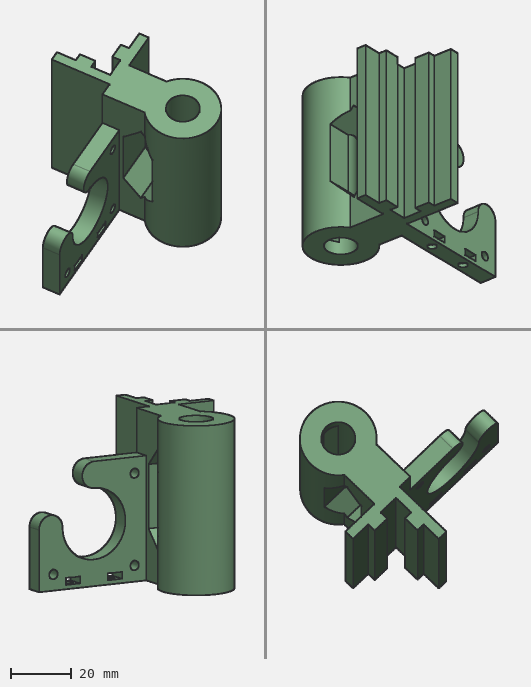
import cadquery as cq

HEIGHT = 57.0
PART_LENGTH_Y = 69.46

TUBE_DIAMETER = 25.4
BORE_DIAMETER = 11.2
POCKET_WIDTH = 8.0
POCKET_END_MARGIN = 4.75
POCKET_WALL = 2.0

FLANGE_THICKNESS = 3.6
FLANGE_REACH = 20.0
CORNER_X = -27.95
CORNER_Y = 1.0
KEY_WIDTH = 5.85
KEY_CENTER_OFFSET = FLANGE_REACH / 2
X_FLANGE_KEY_HEIGHT = 2.85
Y_FLANGE_KEY_HEIGHT = 3.05

NECK_WIDTH = 15.0
WINDOW_WIDTH = 13.2
WINDOW_CENTER_X = -11.7
WINDOW_SIDE_HEIGHT = 21.6
WINDOW_POINT_HEIGHT = WINDOW_WIDTH / 2

PLATE_THICKNESS = 6.35
PLATE_SIZE = 42.0
HOOK_DIAMETER = 24.0
SCREW_DIAMETER = 3.2
SCREW_SPACING = 31.0
NUT_SLOT_LENGTH = 5.4
NUT_SLOT_HEIGHT = 2.35
NUT_SLOT_SPACING = 16.0
NUT_SLOT_Z = 2.65

PLATE_X = CORNER_X + FLANGE_THICKNESS / 2
PART_MAX_Y = CORNER_Y + FLANGE_REACH
HOOK_Y = PART_MAX_Y - PART_LENGTH_Y + PLATE_SIZE / 2
HOOK_Z = PLATE_SIZE / 2
ARM_WIDTH = (PLATE_SIZE - HOOK_DIAMETER) / 2
ARM_RADIUS = (HOOK_DIAMETER + ARM_WIDTH) / 2


def block(x_range, y_range, z_range):
    """Axis-aligned box between the given limits."""
    size = [high - low for low, high in (x_range, y_range, z_range)]
    corner = (x_range[0], y_range[0], z_range[0])
    return cq.Workplane("XY").box(*size, centered=False).translate(corner)


def make_flanges():
    """Two flanges meeting at a corner, each with a key on its rail side."""
    outer_x = CORNER_X + FLANGE_THICKNESS
    outer_y = CORNER_Y - FLANGE_THICKNESS
    full_height = (0, HEIGHT)
    key_x = CORNER_X - KEY_CENTER_OFFSET
    key_y = CORNER_Y + KEY_CENTER_OFFSET
    half_key = KEY_WIDTH / 2

    x_flange = block((CORNER_X - FLANGE_REACH, outer_x), (outer_y, CORNER_Y), full_height)
    y_flange = block((CORNER_X, outer_x), (outer_y, PART_MAX_Y), full_height)
    x_key = block(
        (key_x - half_key, key_x + half_key),
        (CORNER_Y, CORNER_Y + X_FLANGE_KEY_HEIGHT),
        full_height,
    )
    y_key = block(
        (CORNER_X - Y_FLANGE_KEY_HEIGHT, CORNER_X),
        (key_y - half_key, key_y + half_key),
        full_height,
    )
    return x_flange.union(y_flange).union(x_key).union(y_key)


def make_neck():
    """Solid web from the corner to the tube axis, kept clear of the rail space."""
    half_neck = NECK_WIDTH / 2
    upper = block((CORNER_X, 0), (CORNER_Y - FLANGE_THICKNESS, half_neck), (0, HEIGHT))
    lower = block((PLATE_X, 0), (-half_neck, CORNER_Y), (0, HEIGHT))
    return upper.union(lower)


def make_window():
    """Six-sided opening through the neck, pointed at the top and bottom."""
    half_width = WINDOW_WIDTH / 2
    half_side = WINDOW_SIDE_HEIGHT / 2
    half_total = half_side + WINDOW_POINT_HEIGHT
    outline = [
        (-half_width, -half_side),
        (0, -half_total),
        (half_width, -half_side),
        (half_width, half_side),
        (0, half_total),
        (-half_width, half_side),
    ]
    return (
        cq.Workplane("XZ", origin=(WINDOW_CENTER_X, 0, HEIGHT / 2))
        .polyline(outline)
        .close()
        .extrude(TUBE_DIAMETER / 2, both=True)
    )


def make_bore_pocket():
    """Blind pocket from the bore into the +X wall of the tube."""
    half_width = POCKET_WIDTH / 2
    return block(
        (0, TUBE_DIAMETER / 2 - POCKET_WALL),
        (-half_width, half_width),
        (POCKET_END_MARGIN, HEIGHT - POCKET_END_MARGIN),
    )


def plate_cylinders(points, diameter):
    """Cylinders along X through the plate, at (Y, Z) offsets from the hook centre."""
    return (
        cq.Workplane("YZ", origin=(PLATE_X, HOOK_Y, HOOK_Z))
        .pushPoints(points)
        .circle(diameter / 2)
        .extrude(PLATE_THICKNESS)
    )


def make_hook_plate():
    """Square plate opened into a hook with two round-ended arms."""
    x_range = (PLATE_X, PLATE_X + PLATE_THICKNESS)
    half_plate = PLATE_SIZE / 2
    square = block(x_range, (HOOK_Y - half_plate, CORNER_Y), (0, PLATE_SIZE))
    open_quarter = block(x_range, (HOOK_Y - half_plate, HOOK_Y), (HOOK_Z, PLATE_SIZE))
    arm_tips = plate_cylinders([(0, ARM_RADIUS), (-ARM_RADIUS, 0)], ARM_WIDTH)
    hook_opening = plate_cylinders([(0, 0)], HOOK_DIAMETER)
    return square.cut(open_quarter).cut(hook_opening).union(arm_tips)


def make_screw_holes():
    """Holes on three corners of a square pattern; the fourth corner is open."""
    half = SCREW_SPACING / 2
    return plate_cylinders([(half, half), (half, -half), (-half, -half)], SCREW_DIAMETER)


def make_nut_slots():
    """Two rectangular nut slots, each reached by a screw hole from the bottom edge."""
    half_spacing = NUT_SLOT_SPACING / 2
    slots = (
        cq.Workplane("YZ", origin=(PLATE_X, HOOK_Y, NUT_SLOT_Z))
        .pushPoints([(-half_spacing, 0), (half_spacing, 0)])
        .rect(NUT_SLOT_LENGTH, NUT_SLOT_HEIGHT)
        .extrude(PLATE_THICKNESS)
    )
    screw_holes = (
        cq.Workplane("XY", origin=(PLATE_X + PLATE_THICKNESS / 2, HOOK_Y, 0))
        .pushPoints([(0, -half_spacing), (0, half_spacing)])
        .circle(SCREW_DIAMETER / 2)
        .extrude(NUT_SLOT_Z)
    )
    return slots.union(screw_holes)


tube = cq.Workplane("XY").circle(TUBE_DIAMETER / 2).extrude(HEIGHT)
bore = cq.Workplane("XY").circle(BORE_DIAMETER / 2).extrude(HEIGHT)

body = make_flanges().union(make_neck()).union(tube)
body = body.cut(bore).cut(make_window()).cut(make_bore_pocket())
body = body.union(make_hook_plate())
result = body.cut(make_screw_holes()).cut(make_nut_slots())